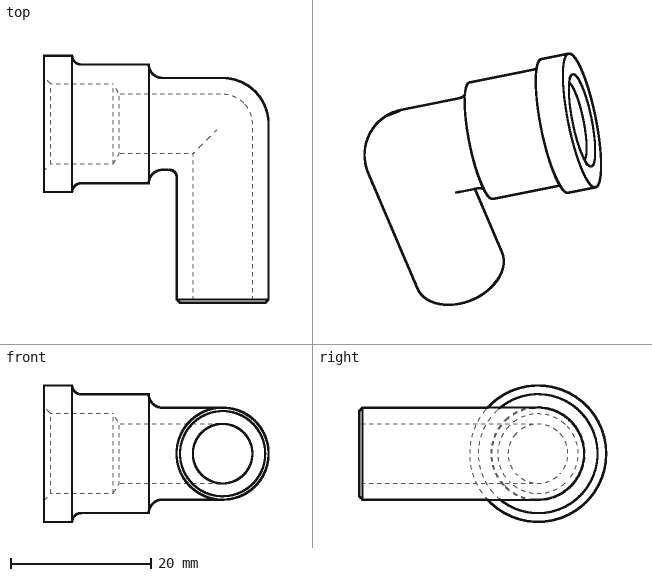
import cadquery as cq
import math

flange_diameter = 19.5
body_diameter = 17.0
pipe_diameter = 13.15
bore_diameter = 8.5
overall_x = 32.08
overall_y = 35.25

flange_length = 4.05
body_end = 14.98

mouth_diameter = 13.43
socket_diameter = 11.42
mouth_chamfer_depth = 1.0
socket_depth = 9.87
drill_point_angle = 118.0

spigot_chamfer = 0.5
crease_fillet = 1.0

flange_radius = flange_diameter / 2
body_radius = body_diameter / 2
pipe_radius = pipe_diameter / 2
bore_radius = bore_diameter / 2
socket_radius = socket_diameter / 2
elbow_x = overall_x - pipe_radius
spigot_length = overall_y - flange_radius


def elbow(radius):
    """Two round legs at right angles, rounded by a ball at the outer corner."""
    socket_leg = cq.Workplane("YZ").circle(radius).extrude(elbow_x)
    spigot_leg = (
        cq.Workplane("XZ").center(elbow_x, 0).circle(radius).extrude(spigot_length)
    )
    ball = cq.Workplane("XY").sphere(radius).translate((elbow_x, 0, 0))
    return socket_leg.union(spigot_leg).union(ball)


def outer_elbow():
    """Pipe elbow with a rounded inner crease and a chamfered spigot end."""
    inner_corner = (elbow_x - pipe_radius, -pipe_radius, 0)
    pipe = elbow(pipe_radius)
    pipe = pipe.edges(cq.selectors.NearestToPointSelector(inner_corner)).fillet(crease_fillet)
    return pipe.faces("<Y").edges().chamfer(spigot_chamfer)


def socket_body():
    """Stepped collar, with a concave quarter round at the foot of each step."""
    flange_step = flange_radius - body_radius
    body_step = body_radius - pipe_radius
    diagonal = 0.5 ** 0.5

    def cove_middle(x, radius, step):
        return (x + step * (1 - diagonal), radius + step * (1 - diagonal))

    profile = (
        cq.Workplane("XY")
        .lineTo(0, flange_radius)
        .lineTo(flange_length, flange_radius)
        .threePointArc(
            cove_middle(flange_length, body_radius, flange_step),
            (flange_length + flange_step, body_radius),
        )
        .lineTo(body_end, body_radius)
        .threePointArc(
            cove_middle(body_end, pipe_radius, body_step),
            (body_end + body_step, pipe_radius),
        )
        .lineTo(body_end + body_step, 0)
        .close()
    )
    return profile.revolve(360, (0, 0, 0), (1, 0, 0))


def socket_cavity():
    """Chamfered mouth and straight socket, ending in a drill-point cone to the bore."""
    cone_length = (socket_radius - bore_radius) / math.tan(math.radians(drill_point_angle / 2))
    profile = cq.Workplane("XY").polyline([
        (0, 0),
        (0, mouth_diameter / 2),
        (mouth_chamfer_depth, socket_radius),
        (socket_depth, socket_radius),
        (socket_depth + cone_length, bore_radius),
        (socket_depth + cone_length, 0),
    ]).close()
    return profile.revolve(360, (0, 0, 0), (1, 0, 0))


result = outer_elbow().union(socket_body()).cut(elbow(bore_radius)).cut(socket_cavity())